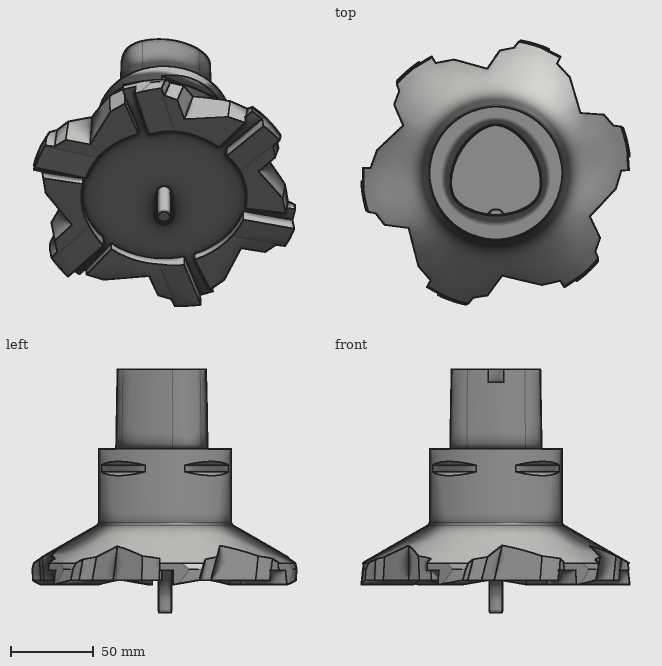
import cadquery as cq
import math

PIN_END_Z = -17.0
BODY_BOTTOM_Z = 2.6
SLOT_ROOF_Z = 8.6
BAND_Z = 9.4
RIM_Z = 13.1
FLANGE_TOP_Z = 82.0
SHANK_TOP_Z = 130.0

FLANGE_R = 40.0
RIM_R = 80.4
TOOTH_R = 81.55
CAVITY_R = 50.0
CONE_ANGLE = 30
NECK_FILLET = 2.3

PIN_DIAMETER = 8.01
PIN_CHAMFER_LENGTH = 1.4
PIN_CHAMFER_DEPTH = 0.4

SHANK_MEAN_R = 27.7
SHANK_LOBE = 1.9
SHANK_FLAT_ANGLES = [150, 270, 390]
SHANK_FLAT_PITCH = 120
SHANK_FLAT_HALF_ANGLE = 27.5
SHANK_CURVE_STEPS = 6
SHANK_TAPER = 0.8
KEYWAY_R = 5.2
KEYWAY_DEPTH = 8.0
KEYWAY_CENTRE_Y = -27.0

GROOVE_Z = 70.1
GROOVE_FLOOR_R = 35.4
GROOVE_FLOOR_WIDTH = 3.8
GROOVE_MOUTH_WIDTH = 8.6
GROOVE_START_ANGLE = 45
GROOVE_COUNT = 4

TOOTH_ANGLES = [0, 59.7, 117.6, 176.5, 237.6, 299.7]

LEAD_WALL = [(54.4, -26.4), (70.6, -9.7), (74.0, 1.2), (78.9, 1.5)]
LEAD_LEAN = (0.11, 0.02)
TRAIL_WALL = [(52.6, 30.3), (66.3, 31.0), (72.0, 24.8), (76.9, 24.8)]
TRAIL_LEAN = (-0.07, 0.257)

SLOT_FRONT_Y = 1.0
SLOT_BACK_INNER = (49.4, 7.6)
SLOT_BACK_OUTER = (80.7, 9.9)
FOOT_LENGTH = 15.0

FLANK_ANGLE = 3.0
FLANK_DISTANCE = 81.25
FLANK_SLOPE = 0.12

REACH = 40.0
OVERLAP = 1.0
WEDGE_HALF_WIDTH = 100.0
TOOL_TOP_Z = 35.0
TOOL_BOTTOM_Z = -5.0


def turned(shape, angle):
    """Shape rotated counter-clockwise about the part axis."""
    return shape.rotate((0, 0, 0), (0, 0, 1), angle)


def make_body():
    """Cone, flange and toothed rim as one revolved solid with an open cavity underneath."""
    corner_z = RIM_Z + (RIM_R - FLANGE_R) * math.tan(math.radians(CONE_ANGLE))
    profile = [
        (0, SLOT_ROOF_Z),
        (CAVITY_R, SLOT_ROOF_Z),
        (CAVITY_R, 0),
        (TOOTH_R, 0),
        (TOOTH_R, BAND_Z),
        (RIM_R, RIM_Z),
        (FLANGE_R, corner_z),
        (FLANGE_R, FLANGE_TOP_Z),
        (0, FLANGE_TOP_Z),
    ]
    body = cq.Workplane("XZ").polyline(profile).close().revolve(360, (0, 0), (0, 1))
    box_half = FLANGE_R + OVERLAP
    neck = cq.selectors.BoxSelector(
        (-box_half, -box_half, corner_z - OVERLAP),
        (box_half, box_half, corner_z + OVERLAP),
    )
    return body.edges(neck).fillet(NECK_FILLET)


def make_pin():
    """Centre pin hanging from the cavity roof, chamfered at its end."""
    length = SLOT_ROOF_Z + OVERLAP - PIN_END_Z
    pin = cq.Workplane("XY").workplane(offset=PIN_END_Z).circle(PIN_DIAMETER / 2).extrude(length)
    return pin.faces("<Z").chamfer(PIN_CHAMFER_LENGTH, PIN_CHAMFER_DEPTH)


def trilobe_point(mean_r, normal_angle):
    """Point of a constant-width trilobe where its outward normal has the given angle in degrees."""
    angle = math.radians(normal_angle)
    support = mean_r - SHANK_LOBE * math.sin(3 * angle)
    slope = -3 * SHANK_LOBE * math.cos(3 * angle)
    x = support * math.cos(angle) - slope * math.sin(angle)
    y = support * math.sin(angle) + slope * math.cos(angle)
    return x, y


def trilobe_wire(mean_r, z):
    """Closed outline of three flat curves and three lobes."""
    edges = []
    for flat_middle in SHANK_FLAT_ANGLES:
        seams = [
            flat_middle - SHANK_FLAT_PITCH + SHANK_FLAT_HALF_ANGLE,
            flat_middle - SHANK_FLAT_HALF_ANGLE,
            flat_middle + SHANK_FLAT_HALF_ANGLE,
        ]
        for start, end in zip(seams, seams[1:]):
            points = []
            for step in range(SHANK_CURVE_STEPS + 1):
                angle = start + (end - start) * step / SHANK_CURVE_STEPS
                points.append(cq.Vector(*trilobe_point(mean_r, angle), z))
            tangents = []
            for angle in (start, end):
                heading = math.radians(angle + 90)
                tangents.append(cq.Vector(math.cos(heading), math.sin(heading), 0))
            edges.append(cq.Edge.makeSpline(points, tangents=tangents))
    return cq.Wire.assembleEdges(edges)


def make_shank():
    """Tapered trilobe shank with a round keyway at its top on the -Y side."""
    base = trilobe_wire(SHANK_MEAN_R, FLANGE_TOP_Z)
    top = trilobe_wire(SHANK_MEAN_R - SHANK_TAPER, SHANK_TOP_Z)
    shank = cq.Workplane(cq.Solid.makeLoft([base, top], True))
    keyway = (
        cq.Workplane("XY")
        .workplane(offset=SHANK_TOP_Z - KEYWAY_DEPTH)
        .center(0, KEYWAY_CENTRE_Y)
        .circle(KEYWAY_R)
        .extrude(KEYWAY_DEPTH)
    )
    return shank.cut(keyway)


def make_groove(angle):
    """Straight gripper groove with sloping sides."""
    depth = FLANGE_R - GROOVE_FLOOR_R
    side_slope = (GROOVE_MOUTH_WIDTH - GROOVE_FLOOR_WIDTH) / 2 / depth
    outer_r = FLANGE_R + depth
    floor_half = GROOVE_FLOOR_WIDTH / 2
    outer_half = floor_half + side_slope * (outer_r - GROOVE_FLOOR_R)
    section = [
        (GROOVE_FLOOR_R, GROOVE_Z - floor_half),
        (outer_r, GROOVE_Z - outer_half),
        (outer_r, GROOVE_Z + outer_half),
        (GROOVE_FLOOR_R, GROOVE_Z + floor_half),
    ]
    groove = cq.Workplane("XZ").polyline(section).close().extrude(FLANGE_R, both=True)
    return turned(groove, angle)


def beyond(start, end, distance):
    """Point past `end` on the line from `start`."""
    dx = end[0] - start[0]
    dy = end[1] - start[1]
    ratio = distance / math.hypot(dx, dy)
    return end[0] + dx * ratio, end[1] + dy * ratio


def leaning_prism(outline, lean):
    """Prism whose outline at Z = 0 shifts by `lean` for every mm of height."""

    def section_at(z):
        return [(x + lean[0] * z, y + lean[1] * z) for x, y in outline]

    return (
        cq.Workplane("XY")
        .workplane(offset=TOOL_BOTTOM_Z)
        .polyline(section_at(TOOL_BOTTOM_Z))
        .close()
        .workplane(offset=TOOL_TOP_Z - TOOL_BOTTOM_Z)
        .polyline(section_at(TOOL_TOP_Z))
        .close()
        .loft(ruled=True)
    )


def space_beside(wall, lean, side):
    """Space next to a tooth wall: side -1 is clockwise of it, +1 counter-clockwise."""
    inner = beyond(wall[1], wall[0], REACH)
    outer = beyond(wall[2], wall[3], REACH)
    far_y = side * WEDGE_HALF_WIDTH
    outline = [inner] + wall + [outer, (outer[0], far_y), (inner[0], far_y)]
    return leaning_prism(outline, lean)


def make_gullet(tooth_angle, previous_angle):
    """Chip space between a tooth and the tooth clockwise of it."""
    ahead_of_tooth = turned(space_beside(LEAD_WALL, LEAD_LEAN, -1), tooth_angle)
    behind_previous = turned(space_beside(TRAIL_WALL, TRAIL_LEAN, 1), previous_angle)
    return ahead_of_tooth.intersect(behind_previous)


def make_slot():
    """Insert slot, open to the cavity, the gullet and the outside."""
    back_outer = beyond(SLOT_BACK_INNER, SLOT_BACK_OUTER, REACH)
    back_inner = beyond(SLOT_BACK_OUTER, SLOT_BACK_INNER, FOOT_LENGTH)
    outline = [
        (back_inner[0], SLOT_FRONT_Y),
        (back_outer[0], SLOT_FRONT_Y),
        back_outer,
        back_inner,
    ]
    return cq.Workplane("XY").polyline(outline).close().extrude(SLOT_ROOF_Z)


def make_foot():
    """Wedge below the body, lowest at the slot and rising counter-clockwise."""
    rise = SLOT_BACK_OUTER[1] - SLOT_BACK_INNER[1]
    run = SLOT_BACK_OUTER[0] - SLOT_BACK_INNER[0]
    section = [
        (0, 0),
        (FOOT_LENGTH, BODY_BOTTOM_Z),
        (FOOT_LENGTH, BODY_BOTTOM_Z + OVERLAP),
        (0, BODY_BOTTOM_Z + OVERLAP),
    ]
    wedge = cq.Workplane("YZ").polyline(section).close().extrude(REACH, both=True)
    wedge = turned(wedge, math.degrees(math.atan2(rise, run)))
    return wedge.translate((SLOT_BACK_OUTER[0], SLOT_BACK_OUTER[1], 0))


def make_bottom_cut():
    """Layer under the body that is removed everywhere except at the feet."""
    layer = (
        cq.Workplane("XY")
        .workplane(offset=TOOL_BOTTOM_Z)
        .circle(RIM_R + REACH)
        .circle(CAVITY_R - OVERLAP)
        .extrude(BODY_BOTTOM_Z - TOOL_BOTTOM_Z)
    )
    foot = make_foot()
    for tooth_angle in TOOTH_ANGLES:
        layer = layer.cut(turned(foot, tooth_angle))
    return layer


def make_flank_cut():
    """Everything outside the flat, leaning flank of a tooth."""
    section = [
        (FLANK_DISTANCE - FLANK_SLOPE * TOOL_BOTTOM_Z, TOOL_BOTTOM_Z),
        (FLANK_DISTANCE + REACH, TOOL_BOTTOM_Z),
        (FLANK_DISTANCE + REACH, RIM_Z),
        (FLANK_DISTANCE - FLANK_SLOPE * RIM_Z, RIM_Z),
    ]
    cut = cq.Workplane("XZ").polyline(section).close().extrude(REACH, both=True)
    return turned(cut, FLANK_ANGLE)


result = make_body().cut(make_bottom_cut())

slot = make_slot()
flank_cut = make_flank_cut()
for index, tooth_angle in enumerate(TOOTH_ANGLES):
    previous_angle = TOOTH_ANGLES[index - 1]
    result = result.cut(make_gullet(tooth_angle, previous_angle))
    result = result.cut(turned(slot, tooth_angle))
    result = result.cut(turned(flank_cut, tooth_angle))

for groove_index in range(GROOVE_COUNT):
    groove_angle = GROOVE_START_ANGLE + groove_index * 360 / GROOVE_COUNT
    result = result.cut(make_groove(groove_angle))

result = result.union(make_shank()).union(make_pin())